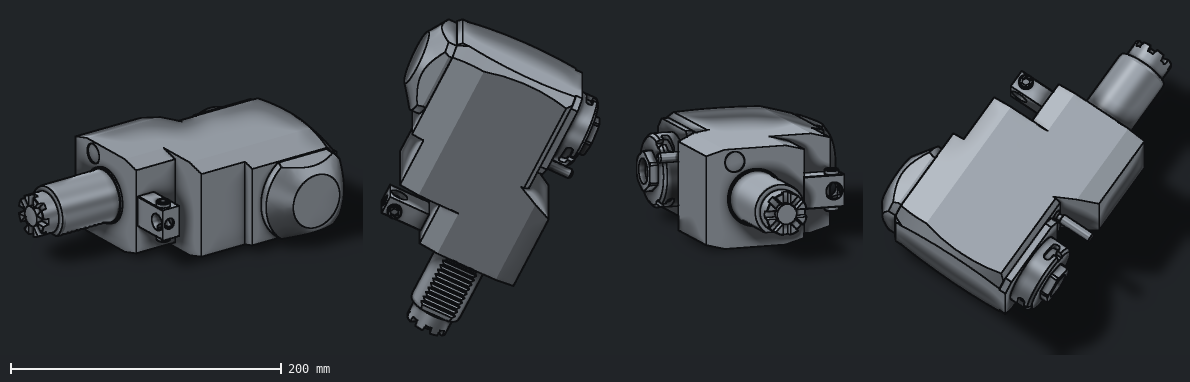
import cadquery as cq
import math


overall_width = 147.33
overall_length = 222.0

half_height = 37.5
back_y = 154.0
mount_half_width = 38.7
mount_taper_start = 24.0
taper_angle = 15.0
taper_slope = math.tan(math.radians(taper_angle))
head_front_y = 75.0
step_y = 35.5
head_left_x = -14.6
overhang_right_x = 72.2
head_right_x = 81.6
head_taper_start = 57.0
slant_start_x = -8.5
slant_end_y = 59.3
head_edge_chamfer = 4.0
back_corner_chamfer = 3.0
back_arc_x = 22.5
back_arc_radius = 136.0
back_bevel = 4.0
back_arc_half_span = 70.0

flange_half_width = 33.8
flange_half_height = 33.5
flange_left_x = -20.0
flange_corner = 8.0
spindle_y = back_y - flange_half_width

ring_radius = 27.6
ring_left_x = -37.3
ring_chamfer = 2.2
ring_slot_count = 3
ring_slot_floor_radius = 23.9
ring_slot_width = 5.6
ring_slot_x = -29.3
ring_slot_half_angle = 20.0
hexagon_left_x = -44.0
hexagon_across_flats = 27.5
hexagon_corner_radius = 15.3
hexagon_chamfer = 0.6
hexagon_bore_radius = 9.5
hexagon_bore_depth = 5.0

cap_radius = 37.3
cap_cone_start_x = 88.1
cap_end_x = 100.0
cap_end_radius = 21.1
cap_flat_half_height = 30.0
cap_taper_start = 84.2
cap_top_y = 149.8

pipe_y = 80.4
pipe_z = 17.6
pipe_radius = 3.7
pipe_tip_x = cap_end_x - overall_width
pipe_chamfer = 1.4
pipe_neck_x = -19.8
pipe_neck_radius = 2.4
pipe_flare_x = -16.4
pipe_foot_radius = 4.3
nozzle_z = 10.4
nozzle_radius = 4.5
nozzle_recess = 0.3
nozzle_bore_radius = 1.3
nozzle_bore_depth = 3.0

plug_x = -15.9
plug_z = 27.7
plug_radius = 7.7
plug_recess = 1.0

arm_right_x = 70.8
arm_front_y = 1.5
arm_back_y = 16.1
arm_half_height = 12.2
arm_bore_x = 63.0
arm_bore_radius = 6.5
arm_edge_chamfer = 0.5
arm_cross_hole_radius = 4.2
screw_y = 7.4
screw_hole_radius = 4.5
screw_hole_half_length = 7.5
screw_radius = 5.3
screw_top_z = 15.7
screw_chamfer = 0.8
screw_socket_across_corners = 6.6
screw_socket_depth = 3.0

collar_radius = 21.6
collar_end_y = -1.8
collar_foot_radius = 20.4
collar_foot_end_y = -3.1
shank_radius = 20.0
shank_chamfer_y = -50.3
shank_end_y = -53.0
shank_end_radius = 19.5
neck_radius = 13.0
nut_start_y = -54.0
nut_end_y = back_y - overall_length
nut_radius = 16.0
nut_edge_break = 0.4
nut_slot_count = 8
nut_slot_width = 6.0
nut_slot_floor_width = 4.6
nut_slot_depth = 4.7
nut_hub_radius = 7.7

flat_z = -15.9
flat_start_y = -8.6
flat_slant_rise = 4.5
flat_slant_run = 3.5
groove_pitch = 4.0
groove_depth = 1.6
first_groove_y = -11.7
groove_count = 10

OVERLAP = 1.0
CLEAR = 5.0


def box(x0, x1, y0, y1, z0, z1):
    """Box between two corners."""
    return cq.Workplane("XY").box(x1 - x0, y1 - y0, z1 - z0, centered=False).translate((x0, y0, z0))


def disc_x(radius, x0, x1, y, z):
    """Cylinder along X."""
    return cq.Workplane("YZ", origin=(x0, y, z)).circle(radius).extrude(x1 - x0)


def prism_y(points, y0, y1):
    """Outline of (x, z) points extruded along Y."""
    return cq.Workplane("XZ", origin=(0, y0, 0)).polyline(points).close().extrude(y0 - y1)


def revolve_x(points, y, z):
    """Outline of (x, radius) points turned about an axis parallel to X."""
    return cq.Workplane("XY", origin=(0, y, z)).polyline(points).close().revolve(360, (0, 0, 0), (1, 0, 0))


def with_mirror(solid):
    """A solid together with its mirror image below Z = 0."""
    return solid.union(solid.mirror("XY"))


def taper_cutter(x_start, x_end, y0, y1, slope):
    """Material above a face that drops from the top at x_start towards x_end."""
    run = x_end - x_start
    top = half_height + CLEAR
    far_z = half_height - abs(run) * slope
    return prism_y([(x_start, half_height), (x_end, far_z), (x_end, top), (x_start, top)], y0, y1)


def back_bevel_cutter():
    """Material behind the arched 45 degree bevel along the upper back edge."""
    drop = half_height / 2
    sagitta = back_arc_radius - math.sqrt(back_arc_radius**2 - back_arc_half_span**2)
    apex_y = back_y - back_bevel - CLEAR
    end_y = apex_y - sagitta
    far_y = back_y + half_height
    left_x = back_arc_x - back_arc_half_span
    right_x = back_arc_x + back_arc_half_span
    outline = (
        cq.Workplane("XY", origin=(0, 0, half_height + CLEAR))
        .moveTo(left_x, end_y)
        .threePointArc((back_arc_x, apex_y), (right_x, end_y))
        .lineTo(right_x, far_y)
        .lineTo(left_x, far_y)
        .close()
        .wire()
        .val()
    )
    return cq.Workplane(cq.Solid.extrudeLinear(outline, [], cq.Vector(0, drop, -drop)))


def housing():
    """Main block: stepped plan outline with sloped top and bottom edges and a plug recess."""
    body = (
        cq.Workplane("XY", origin=(0, 0, -half_height))
        .polyline([
            (-mount_half_width, 0),
            (mount_half_width, 0),
            (mount_half_width, step_y),
            (overhang_right_x, step_y),
            (overhang_right_x, head_front_y),
            (head_right_x, head_front_y),
            (head_right_x, back_y - back_corner_chamfer),
            (head_right_x - back_corner_chamfer, back_y),
            (head_left_x, back_y),
            (head_left_x, head_front_y),
            (slant_start_x, head_front_y),
            (-mount_half_width, slant_end_y),
        ])
        .close()
        .extrude(2 * half_height)
    )
    cutters = [
        taper_cutter(-mount_taper_start, -mount_half_width - CLEAR, -CLEAR, head_front_y, taper_slope),
        taper_cutter(mount_taper_start, mount_half_width + CLEAR, -CLEAR, step_y, taper_slope),
        taper_cutter(head_taper_start, head_right_x + CLEAR, step_y, back_y + CLEAR, taper_slope),
        taper_cutter(head_left_x + head_edge_chamfer, head_left_x - CLEAR, head_front_y, back_y + CLEAR, 1.0),
        back_bevel_cutter(),
    ]
    for cutter in cutters:
        body = body.cut(with_mirror(cutter))
    plug = cq.Workplane("XZ", origin=(plug_x, plug_recess, plug_z)).circle(plug_radius).extrude(CLEAR)
    return body.cut(plug)


def flange():
    """Plate with cut corners that carries the ring."""
    width = 2 * flange_half_width
    height = 2 * flange_half_height
    plate = cq.Workplane("YZ", origin=(flange_left_x, spindle_y, 0)).rect(width, height)
    return plate.extrude(head_left_x + OVERLAP - flange_left_x).edges("|X").chamfer(flange_corner)


def ring_slot(angle):
    """T-shaped slot in the ring: a round-ended groove along the rim and a neck to the face."""
    half_width = ring_slot_width / 2
    reach = ring_radius + CLEAR
    end_angle = ring_slot_half_angle - math.degrees(half_width / ring_radius)
    edge = reach * math.tan(math.radians(end_angle))
    groove = (
        cq.Workplane("YZ", origin=(ring_slot_x - half_width, 0, 0))
        .polyline([(0, 0), (reach, -edge), (reach, edge)])
        .close()
        .extrude(ring_slot_width)
    )
    round_end = cq.Workplane("XZ", origin=(ring_slot_x, 0, 0)).circle(half_width).extrude(-reach)
    for side in (-1, 1):
        groove = groove.union(round_end.rotate((0, 0, 0), (1, 0, 0), side * end_angle))
    neck = box(ring_left_x - CLEAR, ring_slot_x, 0, reach, -half_width, half_width)
    core = disc_x(ring_slot_floor_radius, ring_left_x - 2 * CLEAR, 0, 0, 0)
    slot = groove.union(neck).cut(core).rotate((0, 0, 0), (1, 0, 0), angle)
    return slot.translate((0, spindle_y, 0))


def ring():
    """Slotted ring around the spindle."""
    body = revolve_x([
        (flange_left_x + OVERLAP, 0),
        (flange_left_x + OVERLAP, ring_radius),
        (ring_left_x + ring_chamfer, ring_radius),
        (ring_left_x, ring_radius - ring_chamfer),
        (ring_left_x, 0),
    ], spindle_y, 0)
    for index in range(ring_slot_count):
        body = body.cut(ring_slot(index * 360 / ring_slot_count))
    return body


def hexagon_nut():
    """Bored hexagon with rounded corners at the spindle end."""
    corner_diameter = hexagon_across_flats / math.cos(math.pi / 6)
    inner_x = ring_left_x + OVERLAP
    nut = (
        cq.Workplane("YZ", origin=(hexagon_left_x, spindle_y, 0))
        .transformed(rotate=(0, 0, 90))
        .polygon(6, corner_diameter)
        .extrude(inner_x - hexagon_left_x)
    )
    envelope = revolve_x([
        (inner_x, 0),
        (inner_x, hexagon_corner_radius),
        (hexagon_left_x + hexagon_chamfer, hexagon_corner_radius),
        (hexagon_left_x, hexagon_corner_radius - hexagon_chamfer),
        (hexagon_left_x, 0),
    ], spindle_y, 0)
    bore = disc_x(hexagon_bore_radius, hexagon_left_x, hexagon_left_x + hexagon_bore_depth, spindle_y, 0)
    return nut.intersect(envelope).cut(bore)


def rear_cap():
    """Conical cap on the far side of the head, with flats on its top, bottom and back."""
    base_x = head_right_x - OVERLAP
    cap = revolve_x([
        (base_x, 0),
        (base_x, cap_radius),
        (cap_cone_start_x, cap_radius),
        (cap_end_x, cap_end_radius),
        (cap_end_x, 0),
    ], spindle_y, 0)
    end_z = cap_flat_half_height - (cap_end_x - cap_taper_start) * taper_slope
    envelope = prism_y([
        (base_x, -cap_flat_half_height),
        (cap_taper_start, -cap_flat_half_height),
        (cap_end_x, -end_z),
        (cap_end_x, end_z),
        (cap_taper_start, cap_flat_half_height),
        (base_x, cap_flat_half_height),
    ], spindle_y - cap_radius - CLEAR, cap_top_y)
    return cap.intersect(envelope)


def coolant_pipe():
    """Pipe with a thin neck flaring into the head."""
    foot_x = head_left_x + OVERLAP
    return revolve_x([
        (pipe_tip_x, 0),
        (pipe_tip_x, pipe_radius - pipe_chamfer),
        (pipe_tip_x + pipe_chamfer, pipe_radius),
        (pipe_neck_x, pipe_radius),
        (pipe_neck_x, pipe_neck_radius),
        (pipe_flare_x, pipe_neck_radius),
        (head_left_x, pipe_foot_radius),
        (foot_x, pipe_foot_radius),
        (foot_x, 0),
    ], pipe_y, pipe_z)


def nozzle_recess_cutter():
    """Shallow seat and small bore beside the coolant pipe."""
    recess = disc_x(nozzle_radius, head_left_x, head_left_x + nozzle_recess, pipe_y, nozzle_z)
    bore = disc_x(nozzle_bore_radius, head_left_x, head_left_x + nozzle_bore_depth, pipe_y, nozzle_z)
    return recess.union(bore)


def clamp_screw():
    """Socket screw standing on the upper face of the clamp arm."""
    base_z = arm_half_height - OVERLAP
    screw = (
        cq.Workplane("XY", origin=(arm_bore_x, screw_y, base_z))
        .circle(screw_radius)
        .extrude(screw_top_z - base_z)
        .faces(">Z")
        .chamfer(screw_chamfer)
    )
    socket = (
        cq.Workplane("XY", origin=(arm_bore_x, screw_y, screw_top_z - screw_socket_depth))
        .polygon(6, screw_socket_across_corners)
        .extrude(screw_socket_depth)
    )
    return screw.cut(socket)


def clamp_arm():
    """Bored arm beside the lower block, with a screw above and below."""
    arm = box(
        mount_half_width - OVERLAP, arm_right_x, arm_front_y, arm_back_y, -arm_half_height, arm_half_height
    )
    arm = arm.faces("<Y").edges("|X").chamfer(arm_edge_chamfer)
    bore = cq.Workplane("XZ", origin=(arm_bore_x, 0, 0)).circle(arm_bore_radius).extrude(-arm_back_y)
    cross_hole = disc_x(arm_cross_hole_radius, arm_bore_x, arm_right_x, screw_y, 0)
    screw_hole = (
        cq.Workplane("XY", origin=(arm_bore_x, screw_y, -screw_hole_half_length))
        .circle(screw_hole_radius)
        .extrude(2 * screw_hole_half_length)
    )
    return arm.cut(bore).cut(cross_hole).cut(screw_hole).union(with_mirror(clamp_screw()))


def serrated_flat_cutter():
    """Flat on the underside of the shank with V grooves across it."""
    points = [(flat_start_y + flat_slant_run, flat_z - flat_slant_rise), (flat_start_y, flat_z)]
    for index in range(groove_count):
        groove_y = first_groove_y - index * groove_pitch
        points.append((groove_y + groove_depth, flat_z))
        points.append((groove_y, flat_z + groove_depth))
        points.append((groove_y - groove_depth, flat_z))
    points.append((shank_end_y, flat_z))
    points.append((shank_end_y, flat_z - flat_slant_rise))
    return (
        cq.Workplane("YZ", origin=(-shank_radius, 0, 0)).polyline(points).close().extrude(2 * shank_radius)
    )


def shank():
    """Collar, serrated shank and slotted collet nut on the Y axis."""
    body = (
        cq.Workplane("XY")
        .polyline([
            (0, OVERLAP),
            (collar_radius, OVERLAP),
            (collar_radius, collar_end_y),
            (collar_foot_radius, collar_end_y),
            (shank_radius, collar_foot_end_y),
            (shank_radius, shank_chamfer_y),
            (shank_end_radius, shank_end_y),
            (neck_radius, shank_end_y),
            (neck_radius, nut_start_y),
            (nut_radius, nut_start_y),
            (nut_radius, nut_end_y + nut_edge_break),
            (nut_radius - nut_edge_break, nut_end_y),
            (0, nut_end_y),
        ])
        .close()
        .revolve(360, (0, 0, 0), (0, 1, 0))
    )
    body = body.cut(serrated_flat_cutter())
    floor_y = nut_end_y + nut_slot_depth
    hub = cq.Workplane("XZ", origin=(0, floor_y, 0)).circle(nut_hub_radius).extrude(nut_slot_depth)
    slot = (
        cq.Workplane("YZ")
        .polyline([
            (nut_end_y, -nut_slot_width / 2),
            (floor_y, -nut_slot_floor_width / 2),
            (floor_y, nut_slot_floor_width / 2),
            (nut_end_y, nut_slot_width / 2),
        ])
        .close()
        .extrude(nut_radius + CLEAR)
        .cut(hub)
    )
    for index in range(nut_slot_count):
        body = body.cut(slot.rotate((0, 0, 0), (0, 1, 0), index * 360 / nut_slot_count))
    return body


result = housing().cut(nozzle_recess_cutter())
for feature in (flange, ring, hexagon_nut, rear_cap, coolant_pipe, clamp_arm, shank):
    result = result.union(feature())